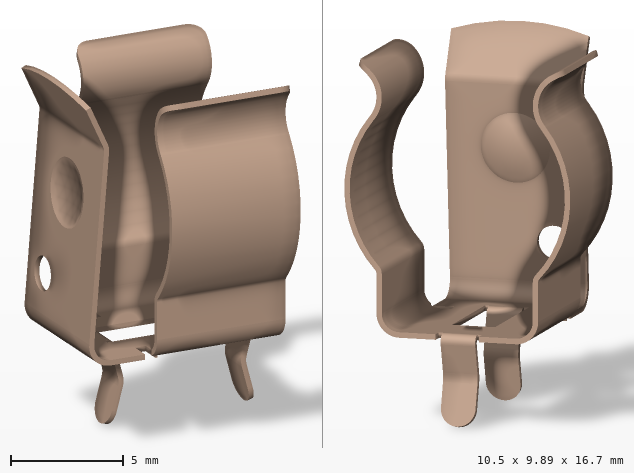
import cadquery as cq
import math

sheet = 0.25
inner_bend = 0.8
outer_bend = inner_bend + sheet

arm_width = 6.37
half_arm_width = arm_width / 2
wall_outer_x = 3.75
grip_inner_radius = 4.99
grip_height = 6.59
throat_half_gap = 3.5
lip_radius = 1.62
neck_length = 0.12
lip_sweep = 75.0
lip_corner_radius = 0.8
foot_crease_radius = 0.25

tab_width = arm_width
tab_foot_y = -6.36
tab_lean = 4.7
flare_angle = 24.7
flare_start_height = 10.19
flare_length = 2.69
flare_crease_radius = 0.4
flare_end_radius = 10.0
dimple_diameter = 3.2
dimple_depth = 0.41
dimple_height = 7.2
hole_diameter = 1.6
hole_x = -1.7
hole_height = 2.93

slot_width = 2.0
slot_front_y = -4.27
slot_back_y = 0.75
back_notch_depth = 0.45
side_notch_inner_x = 2.18
side_notch_back_y = -2.97
side_notch_front_y = -3.5

peg_width = 1.6
peg_tilt = 15.0
peg_kink_depth = 1.75
peg_tip_depth = 3.915
peg_root_radius = 0.12
front_peg_y = -4.055
back_peg_y = 2.895

overlap = 0.3


def on_circle(center, radius, degrees):
    angle = math.radians(degrees)
    return (center[0] + radius * math.cos(angle), center[1] + radius * math.sin(angle))


def mid_arc(center, radius, start, end):
    """Point halfway along the short arc between two points of a circle."""
    dx = (start[0] + end[0]) / 2 - center[0]
    dz = (start[1] + end[1]) / 2 - center[1]
    return on_circle(center, radius, math.degrees(math.atan2(dz, dx)))


def round_edge(solid, direction, point, radius):
    """Round the edge parallel to `direction` that lies nearest to `point`."""
    return solid.edges(direction).edges(cq.NearestToPointSelector(point)).fillet(radius)


def make_arm():
    """Right-hand arm with the half of the base it stands on."""
    grip_outer_radius = grip_inner_radius + sheet
    wall_inner_x = wall_outer_x - sheet
    grip_center = (0, grip_height)
    centers_across_neck = grip_inner_radius + lip_radius
    centers_apart = math.hypot(centers_across_neck, neck_length)
    lip_x = throat_half_gap + lip_radius
    lip_center = (lip_x, grip_height + math.sqrt(centers_apart**2 - lip_x**2))
    neck_angle = math.degrees(
        math.acos(lip_x / centers_apart) - math.atan2(neck_length, centers_across_neck)
    )
    lip_hollow_radius = lip_radius - sheet
    tip_angle = 180 - lip_sweep

    foot_out = (wall_outer_x, grip_height - math.sqrt(grip_outer_radius**2 - wall_outer_x**2))
    foot_in = (wall_inner_x, grip_height - math.sqrt(grip_inner_radius**2 - wall_inner_x**2))
    neck_start_out = on_circle(grip_center, grip_outer_radius, neck_angle)
    neck_start_in = on_circle(grip_center, grip_inner_radius, neck_angle)
    neck_end_out = on_circle(lip_center, lip_hollow_radius, neck_angle + 180)
    neck_end_in = on_circle(lip_center, lip_radius, neck_angle + 180)
    tip_out = on_circle(lip_center, lip_hollow_radius, tip_angle)
    tip_in = on_circle(lip_center, lip_radius, tip_angle)

    arm = (
        cq.Workplane("XZ", origin=(0, half_arm_width, 0))
        .moveTo(0, 0)
        .lineTo(wall_outer_x, 0)
        .lineTo(*foot_out)
        .threePointArc(mid_arc(grip_center, grip_outer_radius, foot_out, neck_start_out), neck_start_out)
        .lineTo(*neck_end_out)
        .threePointArc(mid_arc(lip_center, lip_hollow_radius, neck_end_out, tip_out), tip_out)
        .lineTo(*tip_in)
        .threePointArc(mid_arc(lip_center, lip_radius, tip_in, neck_end_in), neck_end_in)
        .lineTo(*neck_start_in)
        .threePointArc(mid_arc(grip_center, grip_inner_radius, neck_start_in, foot_in), foot_in)
        .lineTo(wall_inner_x, sheet)
        .lineTo(0, sheet)
        .close()
        .extrude(arm_width)
    )
    creases = [
        ((wall_outer_x, 0), outer_bend),
        ((wall_inner_x, sheet), inner_bend),
        (foot_out, foot_crease_radius),
        (foot_in, foot_crease_radius + sheet),
    ]
    for (x, z), radius in creases:
        arm = round_edge(arm, "|Y", (x, 0, z), radius)

    tip_x = (tip_out[0] + tip_in[0]) / 2
    tip_z = (tip_out[1] + tip_in[1]) / 2
    for y in (-half_arm_width, half_arm_width):
        corner = cq.NearestToPointSelector((tip_x, y, tip_z))
        arm = arm.edges(corner).fillet(lip_corner_radius)
    return arm


def bent_strip(face, width):
    """Strip of sheet, centered on X = 0, whose one face follows the YZ points `face`.

    The sheet lies to the left of the direction of travel. Returns the strip with sharp
    bends and the points of its other face.
    """
    headings = [math.atan2(b[1] - a[1], b[0] - a[0]) for a, b in zip(face, face[1:])]
    before = [headings[0]] + headings
    after = headings + [headings[-1]]
    other_face = []
    for (y, z), arriving, leaving in zip(face, before, after):
        normal = (arriving + leaving + math.pi) / 2
        reach = sheet / math.cos((leaving - arriving) / 2)
        other_face.append((y + reach * math.cos(normal), z + reach * math.sin(normal)))
    strip = (
        cq.Workplane("YZ", origin=(-width / 2, 0, 0))
        .polyline(face + other_face[::-1])
        .close()
        .extrude(width)
    )
    return strip, other_face


def round_end(strip, start, tip, width, radius):
    """Trim the end of a strip to an arc, the last leg running from `start` to `tip`."""
    half_width = width / 2
    out_y = tip[0] - start[0]
    out_z = tip[1] - start[1]
    plane = cq.Plane(origin=(0, *tip), xDir=(1, 0, 0), normal=(0, -out_z, out_y))
    corner_drop = radius - math.sqrt(radius**2 - half_width**2)
    corners = (
        cq.Workplane(plane)
        .moveTo(-half_width, -corner_drop)
        .threePointArc((0, 0), (half_width, -corner_drop))
        .lineTo(half_width, overlap)
        .lineTo(-half_width, overlap)
        .close()
        .extrude(2 * sheet, both=True)
    )
    return strip.cut(corners)


def make_tab():
    """Leaning front tab with its flared end and the strip of base it stands on."""
    lean = math.radians(tab_lean)
    flare = math.radians(flare_angle)
    flare_y = tab_foot_y + flare_start_height * math.tan(lean)
    tip = (
        flare_y - flare_length * math.sin(flare),
        flare_start_height + flare_length * math.cos(flare),
    )
    outer_face = [tip, (flare_y, flare_start_height), (tab_foot_y, 0), (-half_arm_width + overlap, 0)]
    tab, inner_face = bent_strip(outer_face, tab_width)
    creases = [
        (outer_face[1], flare_crease_radius),
        (inner_face[1], flare_crease_radius + sheet),
        (outer_face[2], outer_bend),
        (inner_face[2], inner_bend),
    ]
    for (y, z), radius in creases:
        tab = round_edge(tab, "|X", (0, y, z), radius)

    return round_end(tab, outer_face[1], tip, tab_width, flare_end_radius)


def tab_plane(x, height):
    """Plane on the outer face of the tab, at the given height, with its normal inward."""
    lean = math.radians(tab_lean)
    return cq.Plane(
        origin=(x, tab_foot_y + height * math.tan(lean), height),
        xDir=(1, 0, 0),
        normal=(0, math.cos(lean), -math.sin(lean)),
    )


def make_dome(plane):
    """Spherical cap of the dimple, standing on the given plane."""
    radius = dimple_diameter / 2
    sphere_radius = (radius**2 + dimple_depth**2) / (2 * dimple_depth)
    sphere = cq.Workplane("XZ").sphere(sphere_radius).translate((0, 0, dimple_depth - sphere_radius))
    upper_space = cq.Workplane("XY").circle(sphere_radius).extrude(sphere_radius)
    cap = sphere.intersect(upper_space)
    return cq.Workplane(cap.val().moved(plane.location))


def press_dimple(tab):
    outside = tab_plane(0, dimple_height)
    inside = cq.Plane(outside.origin + outside.zDir * sheet, outside.xDir, outside.zDir)
    return tab.union(make_dome(inside)).cut(make_dome(outside))


def pierce_hole(tab):
    drill = cq.Workplane(tab_plane(hole_x, hole_height)).circle(hole_diameter / 2)
    return tab.cut(drill.extrude(2 * sheet, both=True))


def make_peg(root_y, upper_lean):
    """Peg bent down from the base at `root_y`; `upper_lean` is +1 if it first leans to +Y."""
    slope = upper_lean * math.tan(math.radians(peg_tilt))
    kink_y = root_y + peg_kink_depth * slope
    tip_rise = sheet * math.sin(math.radians(peg_tilt)) if upper_lean > 0 else 0
    tip_z = tip_rise - peg_tip_depth
    tip_y = kink_y + (tip_z + peg_kink_depth) * slope
    front_face = [
        (root_y - 2 * overlap, 0),
        (root_y, 0),
        (kink_y, -peg_kink_depth),
        (tip_y, tip_z),
    ]
    peg, back_face = bent_strip(front_face, peg_width)
    front_kink = inner_bend if upper_lean > 0 else outer_bend
    back_kink = inner_bend + outer_bend - front_kink
    creases = [
        (front_face[1], peg_root_radius),
        (back_face[1], peg_root_radius + sheet),
        (front_face[2], front_kink),
        (back_face[2], back_kink),
    ]
    for (y, z), radius in creases:
        peg = round_edge(peg, "|X", (0, y, z), radius)
    return round_end(peg, front_face[2], front_face[3], peg_width, peg_width / 2)


def box_between(x_min, x_max, y_min, y_max):
    """Cutter through the base, reaching one outer bend radius above and below its underside."""
    return (
        cq.Workplane("XY", origin=(0, 0, -outer_bend))
        .moveTo((x_min + x_max) / 2, (y_min + y_max) / 2)
        .rect(x_max - x_min, y_max - y_min)
        .extrude(2 * outer_bend)
    )


def cut_base_openings(body):
    half_slot = slot_width / 2
    body = body.cut(box_between(-half_slot, half_slot, slot_front_y, slot_back_y))
    body = body.cut(box_between(-half_slot, half_slot, half_arm_width - back_notch_depth, half_arm_width))
    side_notch = box_between(side_notch_inner_x, tab_width / 2, side_notch_front_y, side_notch_back_y)
    return body.cut(side_notch).cut(side_notch.mirror("YZ"))


arm = make_arm()
tab = pierce_hole(press_dimple(make_tab()))
body = cut_base_openings(arm.union(arm.mirror("YZ")).union(tab))
for root_y, upper_lean in ((front_peg_y, 1), (back_peg_y, -1)):
    body = body.union(make_peg(root_y, upper_lean))
result = cq.Workplane(body.solids().val())